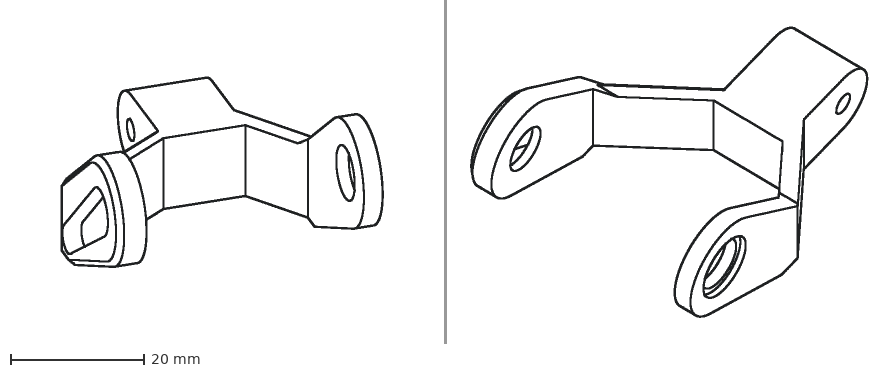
import cadquery as cq
import math

LENGTH = 56.5
WIDTH = 42.0
BASE_HEIGHT = 12.0
BASE_RADIUS = BASE_HEIGHT / 2
BLOCK_END_X = 21.0
BLOCK_FRONT_Y = 19.45
BLOCK_BACK_Y = 32.4
PIN_DIAMETER = 3.4

EYE_RADIUS = 8.5
EYE_DIAMETER = 7.5
BACK_EYE_DIAMETER = 8.5
BACK_RECESS_DIAMETER = 10.5
BACK_RECESS_DEPTH = 1.0
EYE_X = LENGTH - EYE_RADIUS
EYE_Z = 16.05
KNEE_X = 29.15
HEEL_X = 33.9

FRONT_PLATE = 4.5
BACK_PLATE = 3.0
FRONT_ROOT_X = 17.4
FRONT_BEND_X = 30.55
FRONT_INNER_BEND_X = 31.25
BACK_ROOT_X = 15.75
BACK_BEND_X = 29.9
BACK_INNER_BEND_X = 30.75
CHAMFER = 0.95

POCKET_X = 33.15
POCKET_Z = 4.2
POCKET_RADIUS = 2.25
POCKET_DEPTH = 3.0


def along_y(sketch, y_start, y_end):
    """Extrude an XZ outline from y_start to y_end."""
    return sketch.extrude(y_start - y_end).translate((0, y_start, 0))


def tangent_point(x, z, radius, side):
    """Point on the eye circle touched by a line from (x, z); side is +1 above, -1 below."""
    distance = math.hypot(EYE_X - x, EYE_Z - z)
    heading = math.atan2(EYE_Z - z, EYE_X - x)
    normal = heading + side * (math.pi - math.acos(radius / distance))
    return (EYE_X + radius * math.cos(normal), EYE_Z + radius * math.sin(normal))


def clevis_block():
    outline = (
        cq.Workplane("XZ")
        .moveTo(BLOCK_END_X, 0)
        .lineTo(BASE_RADIUS, 0)
        .threePointArc((0, BASE_RADIUS), (BASE_RADIUS, BASE_HEIGHT))
        .lineTo(BLOCK_END_X, BASE_HEIGHT)
        .close()
    )
    return along_y(outline, BLOCK_FRONT_Y, BLOCK_BACK_Y)


def fork_side(plan_points, height):
    return cq.Workplane("XY").polyline(plan_points).close().extrude(height)


def eye_profile():
    """Eye outline through the full width; its upper edge runs on down to the bottom plane."""
    upper = tangent_point(KNEE_X, BASE_HEIGHT, EYE_RADIUS, 1)
    lower = tangent_point(HEEL_X, 0, EYE_RADIUS, -1)
    slope = (upper[1] - BASE_HEIGHT) / (upper[0] - KNEE_X)
    outline = (
        cq.Workplane("XZ")
        .moveTo(KNEE_X - BASE_HEIGHT / slope, 0)
        .lineTo(HEEL_X, 0)
        .lineTo(*lower)
        .threePointArc((LENGTH, EYE_Z), upper)
        .close()
    )
    return along_y(outline, 0, WIDTH)


def pocket():
    """Slot widening from its small round end to the eye hole."""
    distance = math.hypot(EYE_X - POCKET_X, EYE_Z - POCKET_Z)
    heading = math.atan2(EYE_Z - POCKET_Z, EYE_X - POCKET_X)
    eye_radius = EYE_DIAMETER / 2
    spread = math.pi - math.acos((eye_radius - POCKET_RADIUS) / distance)

    def rim(x, z, radius, angle):
        return (x + radius * math.cos(angle), z + radius * math.sin(angle))

    outline = (
        cq.Workplane("XZ")
        .moveTo(*rim(EYE_X, EYE_Z, eye_radius, heading + spread))
        .lineTo(*rim(POCKET_X, POCKET_Z, POCKET_RADIUS, heading + spread))
        .threePointArc(
            rim(POCKET_X, POCKET_Z, POCKET_RADIUS, heading + math.pi),
            rim(POCKET_X, POCKET_Z, POCKET_RADIUS, heading - spread),
        )
        .lineTo(*rim(EYE_X, EYE_Z, eye_radius, heading - spread))
        .threePointArc(
            rim(EYE_X, EYE_Z, eye_radius, heading),
            rim(EYE_X, EYE_Z, eye_radius, heading + spread),
        )
        .close()
    )
    return along_y(outline, 0, POCKET_DEPTH)


def hole(x, z, diameter, y_start, y_end):
    return along_y(cq.Workplane("XZ").center(x, z).circle(diameter / 2), y_start, y_end)


front_plan = [
    (FRONT_ROOT_X, BLOCK_FRONT_Y),
    (FRONT_BEND_X, 0),
    (LENGTH, 0),
    (LENGTH, FRONT_PLATE),
    (FRONT_INNER_BEND_X, FRONT_PLATE),
    (BLOCK_END_X, BLOCK_FRONT_Y),
]
back_plan = [
    (BACK_ROOT_X, BLOCK_BACK_Y),
    (BACK_BEND_X, WIDTH),
    (LENGTH, WIDTH),
    (LENGTH, WIDTH - BACK_PLATE),
    (BACK_INNER_BEND_X, WIDTH - BACK_PLATE),
    (BLOCK_END_X, BLOCK_BACK_Y),
]
eye_height = EYE_Z + EYE_RADIUS
eyes = eye_profile()

arm_limit = cq.Workplane("XY").box(KNEE_X, WIDTH, BASE_HEIGHT, centered=False)
front_arm = fork_side(front_plan, BASE_HEIGHT).intersect(arm_limit)
back_arm = fork_side(back_plan, BASE_HEIGHT).intersect(arm_limit)

arm_mid_x = (FRONT_ROOT_X + KNEE_X) / 2
arm_slope = BLOCK_FRONT_Y / (FRONT_BEND_X - FRONT_ROOT_X)
arm_mid_y = BLOCK_FRONT_Y - arm_slope * (arm_mid_x - FRONT_ROOT_X)
front_arm = front_arm.edges(
    cq.selectors.NearestToPointSelector((arm_mid_x, arm_mid_y, BASE_HEIGHT))
).chamfer(CHAMFER)

front_eye = fork_side(front_plan, eye_height).intersect(eyes)
front_eye = front_eye.faces("<Y").edges("not(<X)").chamfer(CHAMFER)
front_side = front_eye.union(front_arm)
front_side = front_side.edges(
    cq.selectors.NearestToPointSelector((arm_mid_x, arm_mid_y, 0))
).chamfer(CHAMFER)

back_side = fork_side(back_plan, eye_height).intersect(eyes).union(back_arm)

result = (
    clevis_block()
    .union(front_side)
    .union(back_side)
    .cut(hole(BASE_RADIUS, BASE_RADIUS, PIN_DIAMETER, BLOCK_FRONT_Y, BLOCK_BACK_Y))
    .cut(hole(EYE_X, EYE_Z, EYE_DIAMETER, 0, FRONT_PLATE))
    .cut(hole(EYE_X, EYE_Z, BACK_EYE_DIAMETER, WIDTH - BACK_PLATE, WIDTH))
    .cut(hole(EYE_X, EYE_Z, BACK_RECESS_DIAMETER, WIDTH - BACK_RECESS_DEPTH, WIDTH))
    .cut(pocket())
)